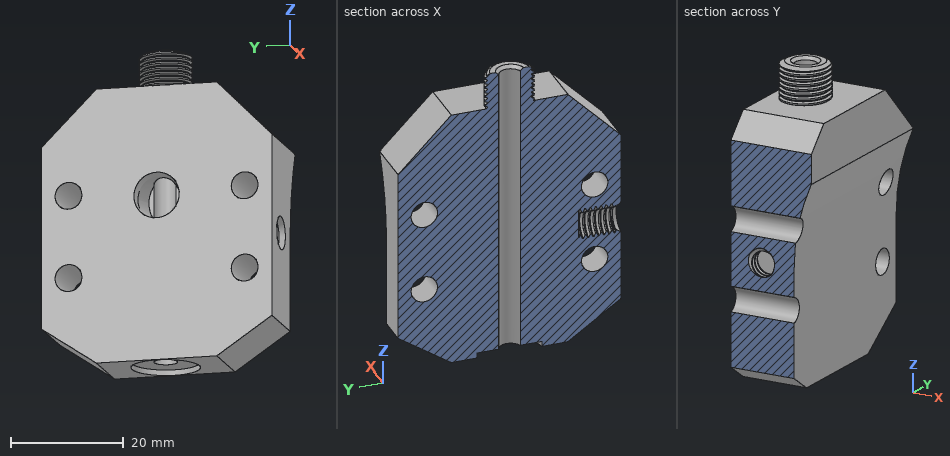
import cadquery as cq
import math

width = 42.3
height = 50.0
thickness_top = 16.5
thickness_bottom = 13.0
corner_width = 10.1
top_corner_height = 10.1
bottom_corner_height = 6.8

shoulder_z = height - top_corner_height
relief_end_z = 23.3

axis_x = thickness_bottom / 2
stud_height = 7.0
stud_crest_radius = 4.75
stud_root_radius = 4.28
stud_pitch = 0.907
stud_lead_in = 1.0
stud_lead_in_height = 0.5
bore_radius = 2.1
bore_mouth_radius = 2.7
recess_radius = 6.15
recess_depth = 1.0

mount_diameter = 4.9
mount_spacing_y = 32.3
mount_spacing_z = 15.0
mount_center_z = 23.3

port_z = 30.0
port_radius = 4.15
port_straight_depth = 2.8
port_floor_half_width = 2.95
port_floor_depth = 6.0

side_pitch = 1.0
side_crest_radius = 2.35
side_root_radius = 3.0
side_depth = 8.0
side_countersink_depth = 1.0
side_z = mount_center_z

thread_flat = 0.12
groove_overlap = 0.15


def plate():
    """Octagonal plate with the concave relief cut from its +X side."""
    half = width / 2
    flat = half - corner_width
    outline = [
        (-flat, 0),
        (flat, 0),
        (half, bottom_corner_height),
        (half, shoulder_z),
        (flat, height),
        (-flat, height),
        (-half, shoulder_z),
        (-half, bottom_corner_height),
    ]
    octagon = cq.Workplane("YZ").polyline(outline).close().extrude(thickness_top)

    step = thickness_top - thickness_bottom
    rise = shoulder_z - relief_end_z
    radius = (rise**2 + step**2) / (2 * step)
    half_angle = math.atan2(rise, radius - step) / 2
    arc_middle = (
        thickness_bottom + radius * (1 - math.cos(half_angle)),
        relief_end_z + radius * math.sin(half_angle),
    )
    side_profile = (
        cq.Workplane("XZ")
        .lineTo(thickness_bottom, 0)
        .lineTo(thickness_bottom, relief_end_z)
        .threePointArc(arc_middle, (thickness_top, shoulder_z))
        .lineTo(thickness_top, height)
        .lineTo(0, height)
        .close()
        .extrude(half, both=True)
    )
    return octagon.intersect(side_profile)


def thread_groove(inner, outer, pitch, length, opens_outward):
    """Trapezoidal groove cutter wound around +Z, from one pitch below zero to above length."""
    opening = (pitch - thread_flat) / 2
    bottom = thread_flat / 2
    if opens_outward:
        inner_edge, outer_edge = inner, outer + groove_overlap
        inner_half, outer_half = bottom, opening
    else:
        inner_edge, outer_edge = inner - groove_overlap, outer
        inner_half, outer_half = opening, bottom
    section = (
        cq.Workplane("XZ")
        .polyline(
            [
                (inner_edge, -inner_half),
                (outer_edge, -outer_half),
                (outer_edge, outer_half),
                (inner_edge, inner_half),
            ]
        )
        .close()
    )
    helix = cq.Wire.makeHelix(pitch, length + 2 * pitch, inner)
    return section.sweep(cq.Workplane(obj=helix), isFrenet=True).translate((0, 0, -pitch))


def stud():
    """Externally threaded stud, standing on the plane Z = 0."""
    blank = cq.Workplane().workplane(offset=-2 * stud_pitch).circle(stud_crest_radius)
    blank = blank.extrude(stud_height + 4 * stud_pitch)
    groove = thread_groove(stud_root_radius, stud_crest_radius, stud_pitch, stud_height, opens_outward=True)
    envelope = (
        cq.Workplane("XZ")
        .lineTo(stud_crest_radius, 0)
        .lineTo(stud_crest_radius, stud_height - stud_lead_in_height)
        .lineTo(stud_crest_radius - stud_lead_in, stud_height)
        .lineTo(0, stud_height)
        .close()
        .revolve(360, (0, 0), (0, 1))
    )
    return blank.cut(groove).intersect(envelope)


def bore():
    """Through bore along Z with a countersunk mouth above and a round recess below."""
    top = height + stud_height
    mouth_depth = bore_mouth_radius - bore_radius
    return (
        cq.Workplane("XZ")
        .lineTo(recess_radius, 0)
        .lineTo(recess_radius, recess_depth)
        .lineTo(bore_radius, recess_depth)
        .lineTo(bore_radius, top - mouth_depth)
        .lineTo(bore_mouth_radius, top)
        .lineTo(0, top)
        .close()
        .revolve(360, (0, 0), (0, 1))
        .translate((axis_x, 0, 0))
    )


def port():
    """Round port along X whose sides narrow in Y to an elliptical floor of full height."""
    straight = cq.Workplane("YZ").circle(port_radius).extrude(port_straight_depth)
    taper = (
        cq.Workplane("YZ")
        .workplane(offset=port_straight_depth)
        .circle(port_radius)
        .workplane(offset=port_floor_depth - port_straight_depth)
        .ellipse(port_floor_half_width, port_radius)
        .loft(ruled=True)
    )
    return straight.union(taper).translate((0, 0, port_z))


def mounting_holes():
    """Four through holes along X."""
    return (
        cq.Workplane("YZ")
        .center(0, mount_center_z)
        .rarray(mount_spacing_y, mount_spacing_z, 2, 2)
        .circle(mount_diameter / 2)
        .extrude(thickness_top)
    )


def side_hole():
    """Blind threaded hole along Y: core, countersink and helical groove."""
    core = cq.Workplane().circle(side_crest_radius).extrude(side_depth)
    groove = thread_groove(
        side_crest_radius, side_root_radius, side_pitch, side_depth, opens_outward=False
    )
    threaded_length = side_depth - side_countersink_depth
    limit = (
        cq.Workplane()
        .workplane(offset=side_countersink_depth)
        .circle(side_root_radius)
        .extrude(threaded_length)
    )
    countersink = (
        cq.Workplane("XZ")
        .lineTo(side_root_radius, 0)
        .lineTo(side_crest_radius, side_countersink_depth)
        .lineTo(0, side_countersink_depth)
        .close()
        .revolve(360, (0, 0), (0, 1))
    )
    cutter = core.union(groove.intersect(limit)).union(countersink)
    return cutter.rotate((0, 0, 0), (1, 0, 0), -90).translate((axis_x, -width / 2, side_z))


result = plate().union(stud().translate((axis_x, 0, height)))
for cutter in (bore(), port(), mounting_holes(), side_hole()):
    result = result.cut(cutter)